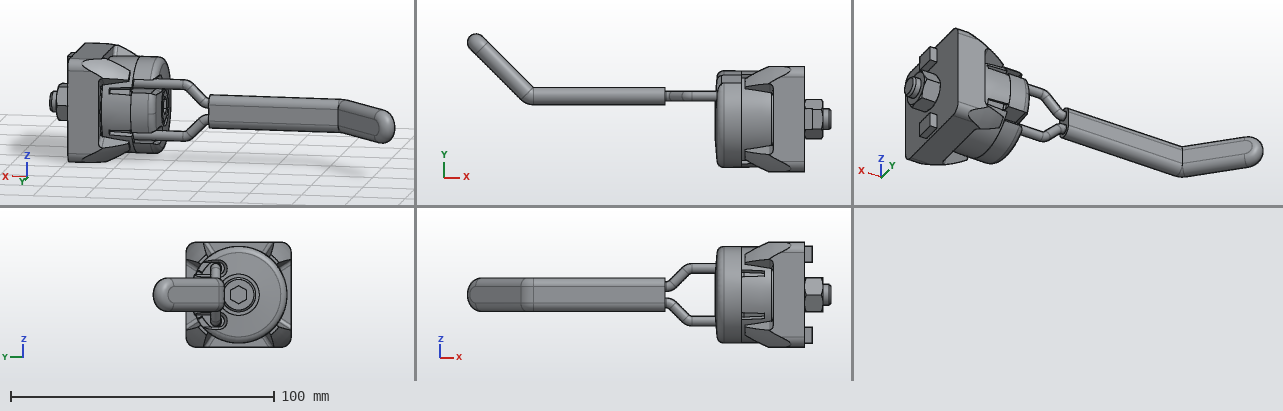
import cadquery as cq
import math


base_width = 40.0
plate_front_x = -11.85
corner_radius = 4.0
lug_length = 3.0
lug_width = 8.0
lug_height = 6.2
lug_offset = 15.4

claw_tip_x = -22.6
claw_tip_radius = 19.6
claw_middle_x = -16.0
claw_middle_radius = 23.1
claw_back_radius = 27.5
claw_half_angle = math.radians(11.8)
claw_apex_at_tip = 9.0
claw_root_fillet = 1.6
claw_root_inner_radius = 14.0

cap_radius = 18.4
cap_back_x = -24.0
cap_front_x = -33.95
cap_face_slope = 0.083
cap_edge_fillet = 2.6
cap_spigot_radius = 16.2
cap_spigot_length = 1.0
head_recess_radius = 7.85
head_recess_depth = 0.8

neck_front_radius = 18.35
neck_middle_x = -18.0
neck_middle_radius = 18.3
neck_back_radius = 17.9
neck_foot_radius = 17.2
neck_foot_height = 0.65
neck_slot_angle = 26.5
neck_slot_length = 8.7
neck_slot_front_width = 3.0
neck_slot_back_width = 2.2
neck_slot_floor_radius = 16.0

bolt_diameter = 8.0
bolt_end_diameter = 6.65
bolt_end_x = 10.1
bolt_end_chamfer_length = 0.9
head_diameter = 13.0
head_height = bolt_diameter
head_face_x = -33.9
head_chamfer = 0.7
socket_width = 6.0
socket_depth = 4.0

nut_width = 13.0
nut_height = 7.0
nut_chamfer_height = 0.6

wire_diameter = 3.8
wire_y = 8.75
wire_leg_z = 10.0
wire_bend_radius = 3.5
wire_slope = math.radians(45.0)
wire_bend_end_x = -42.7
wire_back_x = -16.0
wire_depth_in_grip = 20.0

pocket_width = 4.6
pocket_mouth_y = 7.7
pocket_mouth_flare = 1.2
pocket_mouth_depth = 2.4

grip_thickness = 6.65
grip_rail_z = 3.1
grip_end_x = -53.0
grip_straight_length = 50.0
grip_bend = math.radians(45.0)
grip_top_y = 32.48

half_width = base_width / 2
wire_radius = wire_diameter / 2
grip_radius = grip_thickness / 2
bolt_radius = bolt_diameter / 2
head_back_x = head_face_x + head_height
hex_corner_factor = 2 / math.sqrt(3)


def disc(radius, x_start, x_end):
    """Cylinder about the bolt axis between two X positions."""
    return cq.Workplane("YZ", origin=(x_start, 0, 0)).circle(radius).extrude(x_end - x_start)


def turned(profile):
    """Solid turned about the bolt axis from (x, radius) points."""
    return cq.Workplane("XY").polyline(profile).close().revolve(360, (0, 0, 0), (1, 0, 0))


def neck_envelope():
    """Barrel-shaped outside of the neck, from the cap down to the plate."""
    return (
        cq.Workplane("XY").moveTo(cap_back_x, 0).lineTo(cap_back_x, neck_front_radius)
        .threePointArc((neck_middle_x, neck_middle_radius), (plate_front_x, neck_back_radius))
        .lineTo(plate_front_x, 0).close()
        .revolve(360, (0, 0, 0), (1, 0, 0))
    )


def claw_wedge():
    """Wedge along +Y that narrows toward the claw tip."""
    reach = base_width
    tip_half = (reach - claw_apex_at_tip) * math.tan(claw_half_angle)
    root_half = reach * math.tan(claw_half_angle)
    return (
        cq.Workplane("YZ", origin=(plate_front_x, 0, 0))
        .polyline([(0, 0), (reach, root_half), (reach, -root_half)]).close()
        .workplane(offset=claw_tip_x - plate_front_x)
        .polyline([(claw_apex_at_tip, 0), (reach, tip_half), (reach, -tip_half)]).close()
        .loft(ruled=True)
    )


def claw_crown():
    """Domed surface of revolution that bounds the claws on the outside."""
    return (
        cq.Workplane("XY").moveTo(claw_tip_x, 0).lineTo(claw_tip_x, claw_tip_radius)
        .threePointArc((claw_middle_x, claw_middle_radius), (0, claw_back_radius))
        .lineTo(0, 0).close()
        .revolve(360, (0, 0, 0), (1, 0, 0))
    )


def is_claw_root(edge):
    """True for the straight edges where a claw wall rises from the plate."""
    centre = edge.Center()
    on_plate = abs(centre.x - plate_front_x) < 0.01
    inside = max(abs(centre.y), abs(centre.z)) < half_width - 0.1
    return on_plate and inside and edge.geomType() == "LINE"


def make_base():
    claws = claw_wedge().rotate((0, 0, 0), (1, 0, 0), 45)
    for quarter in range(1, 4):
        claws = claws.union(claw_wedge().rotate((0, 0, 0), (1, 0, 0), 45 + 90 * quarter))
    claws = claws.cut(disc(claw_root_inner_radius, claw_tip_x, plate_front_x))
    square = (
        cq.Workplane("YZ", origin=(claw_tip_x, 0, 0))
        .rect(base_width, base_width).extrude(-claw_tip_x)
    )
    plate = cq.Workplane("YZ").rect(base_width, base_width).extrude(plate_front_x)
    base = plate.union(claws.intersect(square))
    roots = [edge for edge in base.edges().vals() if is_claw_root(edge)]
    base = base.newObject([base.val().fillet(claw_root_fillet, roots)])
    base = base.intersect(square.edges("|X").fillet(corner_radius))
    base = base.intersect(claw_crown()).cut(neck_envelope())
    for side in (-1, 1):
        lug = (
            cq.Workplane("YZ", origin=(0, 0, side * lug_offset))
            .rect(lug_width, lug_height).extrude(lug_length)
        )
        base = base.union(lug)
    return base.cut(disc(bolt_radius, plate_front_x, 0))


def wire_path():
    bend_x = wire_bend_radius * math.sin(wire_slope)
    bend_z = wire_bend_radius * (1 - math.cos(wire_slope))
    half_x = wire_bend_radius * math.sin(wire_slope / 2)
    half_z = wire_bend_radius * (1 - math.cos(wire_slope / 2))
    ramp_x = (wire_leg_z - grip_rail_z - 2 * bend_z) / math.tan(wire_slope)
    crank_x = wire_bend_end_x - 2 * bend_x - ramp_x
    turn_x = grip_end_x - wire_depth_in_grip

    def leg(side):
        """Crank corner points of one leg, from its back end to the turn."""
        return [
            (wire_back_x, side * wire_leg_z),
            (wire_bend_end_x, side * wire_leg_z),
            (wire_bend_end_x - half_x, side * (wire_leg_z - half_z)),
            (wire_bend_end_x - bend_x, side * (wire_leg_z - bend_z)),
            (crank_x + bend_x, side * (grip_rail_z + bend_z)),
            (crank_x + half_x, side * (grip_rail_z + half_z)),
            (crank_x, side * grip_rail_z),
            (turn_x, side * grip_rail_z),
        ]

    upper = leg(1)
    lower = leg(-1)[::-1]
    return (
        cq.Workplane("XZ", origin=(0, wire_y, 0)).moveTo(*upper[0]).lineTo(*upper[1])
        .threePointArc(upper[2], upper[3]).lineTo(*upper[4])
        .threePointArc(upper[5], upper[6]).lineTo(*upper[7])
        .threePointArc((turn_x - grip_rail_z, 0), lower[0]).lineTo(*lower[1])
        .threePointArc(lower[2], lower[3]).lineTo(*lower[4])
        .threePointArc(lower[5], lower[6]).lineTo(*lower[7])
    )


def make_wire():
    return (
        cq.Workplane("YZ", origin=(wire_back_x, wire_y, wire_leg_z))
        .circle(wire_radius).sweep(wire_path())
    )


def make_grip(wire):
    bend_x = grip_end_x - grip_straight_length
    corner_x = bend_x - grip_radius * math.tan(grip_bend / 2)
    tip_run_y = grip_top_y - grip_radius - wire_y
    arm_length = tip_run_y / math.sin(grip_bend) - (bend_x - corner_x) - grip_rail_z
    hinge = (bend_x, wire_y + grip_radius, 0)
    hinge_end = (bend_x, wire_y + grip_radius, 1)

    def bar(x_start, length):
        return (
            cq.Workplane("YZ", origin=(x_start, wire_y, 0))
            .slot2D(2 * (grip_rail_z + grip_radius), grip_thickness, 90).extrude(-length)
        )

    straight = bar(grip_end_x, grip_straight_length)
    elbow = (
        cq.Workplane("YZ", origin=(bend_x, wire_y, 0))
        .slot2D(2 * (grip_rail_z + grip_radius), grip_thickness, 90)
        .revolve(math.degrees(grip_bend), (grip_radius, 1, 0), (grip_radius, 0, 0))
    )
    tip = (
        cq.Workplane("XY", origin=(bend_x - arm_length, wire_y, 0))
        .moveTo(0, -grip_radius).lineTo(-grip_rail_z, -grip_radius)
        .threePointArc((-grip_rail_z - grip_radius, 0), (-grip_rail_z, grip_radius))
        .lineTo(0, grip_radius).close()
        .revolve(360, (0, 0, 0), (0, 1, 0))
    )
    arm = bar(bend_x, arm_length).union(tip).rotate(hinge, hinge_end, -math.degrees(grip_bend))
    return straight.union(elbow).union(arm).cut(wire)


def make_cap():
    def face_x(radius):
        return cap_front_x + cap_face_slope * (radius - head_recess_radius)

    body = turned([
        (cap_back_x, 0),
        (cap_back_x, cap_radius),
        (face_x(cap_radius), cap_radius),
        (cap_front_x, head_recess_radius),
        (cap_front_x, 0),
    ])
    rim_edges = body.edges(cq.selectors.RadiusNthSelector(-1))
    body = rim_edges.edges("<X").fillet(cap_edge_fillet)
    body = body.union(disc(cap_spigot_radius, cap_back_x, cap_back_x + cap_spigot_length))
    body = body.cut(disc(head_recess_radius, cap_front_x, cap_front_x + head_recess_depth))
    body = body.cut(disc(head_diameter / 2, cap_front_x, head_back_x))
    body = body.cut(disc(bolt_radius, head_back_x, cap_back_x + cap_spigot_length))
    for side in (-1, 1):
        body = body.cut(wire_pocket(side))
    return body


def wire_pocket(side):
    """Round-ended slot around one wire leg, flared where it meets the cap face."""
    def slot(centre_y, half):
        return (
            cq.Workplane("YZ", origin=(cap_front_x, centre_y, side * wire_leg_z))
            .moveTo(cap_radius, half).lineTo(0, half)
            .threePointArc((-half, 0), (0, -half)).lineTo(cap_radius, -half).close()
        )

    half = pocket_width / 2
    channel = slot(wire_y, half).extrude(cap_back_x + cap_spigot_length - cap_front_x)
    mouth = slot(pocket_mouth_y, half + pocket_mouth_flare).extrude(
        pocket_mouth_depth, taper=math.degrees(math.atan(pocket_mouth_flare / pocket_mouth_depth)))
    return channel.union(mouth)


def neck_slot(angle):
    """Tapered slot sunk radially into the neck, at an angle about X from +Y."""
    front = neck_slot_front_width / 2
    back = neck_slot_back_width / 2
    end_x = cap_back_x + neck_slot_length
    return (
        cq.Workplane("XZ", origin=(0, neck_slot_floor_radius, 0))
        .polyline([(cap_back_x, -front), (cap_back_x, front), (end_x, back), (end_x, -back)]).close()
        .extrude(-cap_radius)
        .rotate((0, 0, 0), (1, 0, 0), angle)
    )


def make_neck(wire):
    neck = neck_envelope()
    foot_x = plate_front_x - neck_foot_height
    groove = disc(cap_radius, foot_x, plate_front_x).cut(disc(neck_foot_radius, foot_x, plate_front_x))
    neck = neck.cut(groove)
    neck = neck.cut(disc(cap_spigot_radius, cap_back_x, cap_back_x + cap_spigot_length))
    for middle in (0, 180):
        for offset in (-neck_slot_angle, neck_slot_angle):
            neck = neck.cut(neck_slot(middle + offset))
    return neck.cut(disc(bolt_radius, cap_back_x, plate_front_x)).cut(wire)


def make_bolt():
    head = disc(head_diameter / 2, head_face_x, head_back_x).faces("<X").chamfer(head_chamfer)
    socket = (
        cq.Workplane("YZ", origin=(head_face_x, 0, 0))
        .polygon(6, socket_width * hex_corner_factor).extrude(socket_depth)
        .rotate((0, 0, 0), (1, 0, 0), 30)
    )
    shank = turned([
        (head_back_x, 0),
        (head_back_x, bolt_radius),
        (bolt_end_x - bolt_end_chamfer_length, bolt_radius),
        (bolt_end_x, bolt_end_diameter / 2),
        (bolt_end_x, 0),
    ])
    return head.union(shank).cut(socket)


def make_nut():
    nut_corner_radius = nut_width * hex_corner_factor / 2
    hexagon = cq.Workplane("YZ").polygon(6, 2 * nut_corner_radius).extrude(nut_height)
    rounding = turned([
        (0, 0),
        (0, nut_width / 2),
        (nut_chamfer_height, nut_corner_radius),
        (nut_height - nut_chamfer_height, nut_corner_radius),
        (nut_height, nut_width / 2),
        (nut_height, 0),
    ])
    return hexagon.intersect(rounding).cut(disc(bolt_radius, 0, nut_height))


wire = make_wire()
grip = make_grip(wire)
cap = make_cap()
neck = make_neck(wire)
base = make_base()
bolt = make_bolt()
nut = make_nut()

result = cq.Compound.makeCompound([
    grip.val(),
    wire.val(),
    cap.val(),
    neck.val(),
    base.val(),
    bolt.val(),
    nut.val(),
])